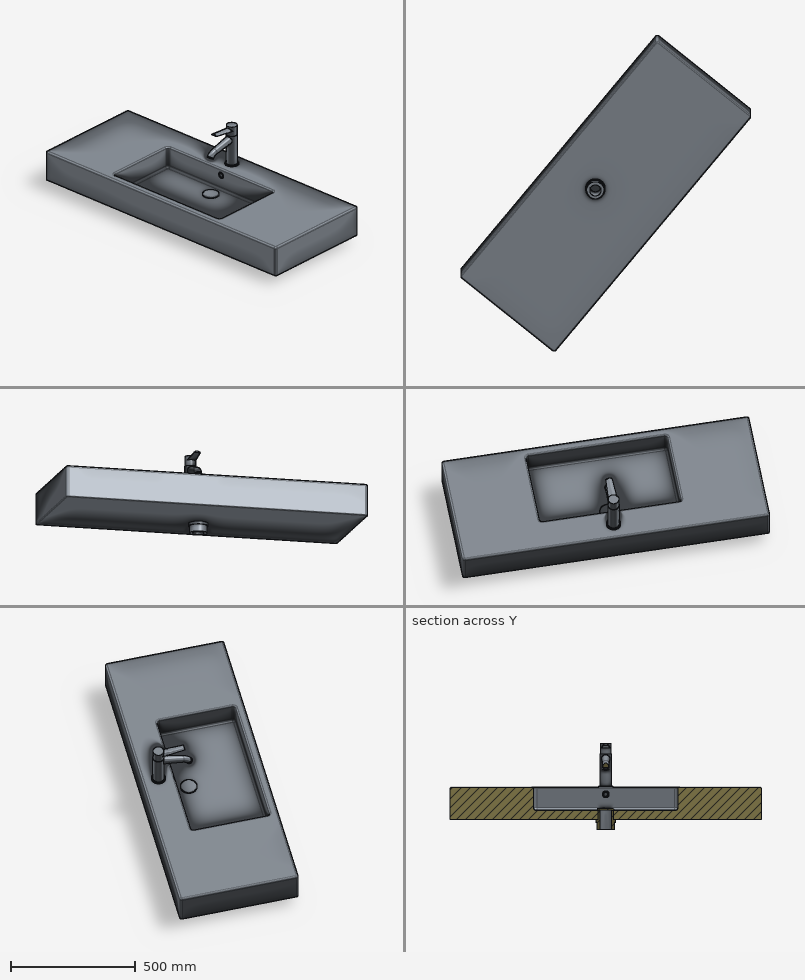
import cadquery as cq
import math

BASIN_LENGTH = 1250.0
BASIN_DEPTH = 490.0
BASIN_HEIGHT = 130.0
BASIN_CORNER_RADIUS = 10.0
BASIN_TOP_RADIUS = 8.0
BASIN_BOTTOM_RADIUS = 4.0

BOWL_LENGTH = 590.0
BOWL_BACK_Y = 121.0
BOWL_FRONT_Y = -216.0
BOWL_DEPTH = 92.0
BOWL_CORNER_RADIUS = 12.0
BOWL_FLOOR_RADIUS = 10.0
BOWL_RIM_RADIUS = 6.0
FLOOR_Z = BASIN_HEIGHT - BOWL_DEPTH

OVERFLOW_DIAMETER = 28.0
OVERFLOW_MOUTH_DIAMETER = 20.0
OVERFLOW_HOLE_DIAMETER = 16.0
OVERFLOW_LENGTH = 12.0
OVERFLOW_DROP = 29.0

DRAIN_Y = 54.0
TAIL_DROP = 40.0
TAIL_DIAMETER = 71.0
TAIL_FLANGE_DIAMETER = 79.0
TAIL_FLANGE_THICKNESS = 11.0
TAIL_NECK_DIAMETER = 60.0
TAIL_BORE_DIAMETER = 45.0
PLUG_DIAMETER = 68.0
PLUG_EDGE_HEIGHT = 6.0
PLUG_CROWN_HEIGHT = 9.0
PLUG_EDGE_RADIUS = 2.0

FAUCET_Y = 179.0
FAUCET_HEIGHT = 175.0
ROSETTE_DIAMETER = 58.0
ROSETTE_TOP_DIAMETER = 52.0
ROSETTE_HEIGHT = 5.0
COLUMN_DIAMETER = 46.0
CAP_DIAMETER = 44.0
CAP_HEIGHT = 41.0
FAUCET_TOP_Z = BASIN_HEIGHT + FAUCET_HEIGHT
CAP_BOTTOM_Z = FAUCET_TOP_Z - CAP_HEIGHT

SPOUT_ROOT_DIAMETER = 35.0
SPOUT_DIAMETER = 26.0
SPOUT_START_Z = 248.0
SPOUT_REACH = 101.0
SPOUT_SLOPE = math.radians(13)
SPOUT_END_SLOPE = math.radians(61)
SPOUT_BEND_RADIUS = 42.0
OUTLET_DIAMETER = 20.0
OUTLET_DEPTH = 5.0

LEVER_REACH = 106.0
LEVER_TIP_BOTTOM_Z = 296.0
LEVER_SLOPE = math.radians(6)
LEVER_ROOT_WIDTH = 38.0
LEVER_ROOT_THICKNESS = 10.0
LEVER_TIP_WIDTH = 26.0
LEVER_TIP_THICKNESS = 8.0


def cylinder(diameter, bottom_z, top_z, y):
    """Upright cylinder on the plane X = 0."""
    return (
        cq.Workplane("XY", origin=(0, y, bottom_z))
        .circle(diameter / 2)
        .extrude(top_z - bottom_z)
    )


def bowl_pocket():
    """Space inside the bowl, with a rounded floor edge."""
    length = BOWL_LENGTH - 2 * BOWL_RIM_RADIUS
    width = BOWL_BACK_Y - BOWL_FRONT_Y - 2 * BOWL_RIM_RADIUS
    return (
        cq.Workplane("XY", origin=(0, (BOWL_BACK_Y + BOWL_FRONT_Y) / 2, FLOOR_Z))
        .rect(length, width)
        .extrude(BOWL_DEPTH)
        .edges("|Z")
        .fillet(BOWL_CORNER_RADIUS)
        .faces("<Z")
        .edges()
        .fillet(BOWL_FLOOR_RADIUS)
    )


def overflow_cylinder(diameter):
    """Cylinder that runs from the back wall of the bowl into the basin."""
    wall_y = BOWL_BACK_Y - BOWL_RIM_RADIUS
    return (
        cq.Workplane("XZ", origin=(0, wall_y, BASIN_HEIGHT - OVERFLOW_DROP))
        .circle(diameter / 2)
        .extrude(-OVERFLOW_LENGTH)
    )


def make_basin():
    block = (
        cq.Workplane("XY")
        .box(BASIN_LENGTH, BASIN_DEPTH, BASIN_HEIGHT, centered=(True, True, False))
        .edges("|Z")
        .fillet(BASIN_CORNER_RADIUS)
        .faces(">Z")
        .edges()
        .fillet(BASIN_TOP_RADIUS)
        .faces("<Z")
        .edges()
        .fillet(BASIN_BOTTOM_RADIUS)
    )
    hollow = block.cut(bowl_pocket())
    bowl_rim = hollow.faces(">Z").wires().vals()
    inner = min(bowl_rim, key=lambda wire: wire.Length())
    rounded = hollow.newObject(inner.Edges()).fillet(BOWL_RIM_RADIUS)
    drain_hole = cylinder(TAIL_NECK_DIAMETER, 0, FLOOR_Z, DRAIN_Y)
    return rounded.cut(drain_hole).cut(overflow_cylinder(OVERFLOW_DIAMETER))


def make_overflow_ring():
    """Ring with a countersunk mouth."""
    return (
        overflow_cylinder(OVERFLOW_DIAMETER)
        .cut(overflow_cylinder(OVERFLOW_HOLE_DIAMETER))
        .faces("<Y")
        .edges(cq.selectors.RadiusNthSelector(0))
        .chamfer((OVERFLOW_MOUTH_DIAMETER - OVERFLOW_HOLE_DIAMETER) / 2)
    )


def make_drain_tail():
    flange = cylinder(TAIL_FLANGE_DIAMETER, -TAIL_FLANGE_THICKNESS, 0, DRAIN_Y)
    pipe = cylinder(TAIL_DIAMETER, -TAIL_DROP, -TAIL_FLANGE_THICKNESS, DRAIN_Y)
    neck = cylinder(TAIL_NECK_DIAMETER, 0, FLOOR_Z, DRAIN_Y)
    bore = cylinder(TAIL_BORE_DIAMETER, -TAIL_DROP, FLOOR_Z, DRAIN_Y)
    return flange.union(pipe).union(neck).cut(bore)


def make_drain_plug():
    """Disc with a domed top and a rounded edge."""
    radius = PLUG_DIAMETER / 2
    crown_rise = PLUG_CROWN_HEIGHT - PLUG_EDGE_HEIGHT
    disc = cylinder(PLUG_DIAMETER, FLOOR_Z, FLOOR_Z + PLUG_CROWN_HEIGHT, DRAIN_Y)
    dome_radius = (radius**2 + crown_rise**2) / (2 * crown_rise)
    dome_center_z = FLOOR_Z + PLUG_CROWN_HEIGHT - dome_radius
    dome = cq.Workplane("XY", origin=(0, DRAIN_Y, dome_center_z)).sphere(dome_radius)
    return disc.intersect(dome).faces("%SPHERE").edges("%CIRCLE").fillet(PLUG_EDGE_RADIUS)


def make_rosette():
    """Conical ring around the foot of the column."""
    chamfer = (ROSETTE_DIAMETER - ROSETTE_TOP_DIAMETER) / 2
    top_z = BASIN_HEIGHT + ROSETTE_HEIGHT
    disc = cylinder(ROSETTE_DIAMETER, BASIN_HEIGHT, top_z, FAUCET_Y).faces(">Z").chamfer(chamfer)
    return disc.cut(cylinder(COLUMN_DIAMETER, BASIN_HEIGHT, top_z, FAUCET_Y))


def spout_plane(y, z, slope):
    """Cross-section plane of the spout, facing along its downward run."""
    return cq.Plane(
        origin=(0, y, z),
        xDir=(1, 0, 0),
        normal=(0, -math.cos(slope), -math.sin(slope)),
    )


def make_faucet_body():
    column = cylinder(COLUMN_DIAMETER, BASIN_HEIGHT, CAP_BOTTOM_Z, FAUCET_Y)
    bend_y = FAUCET_Y - SPOUT_REACH
    bend_z = SPOUT_START_Z - SPOUT_REACH * math.tan(SPOUT_SLOPE)

    def bend_point(slope):
        """Point (Y, Z) of the bend's centre line where it falls at this slope."""
        return (
            bend_y - SPOUT_BEND_RADIUS * (math.sin(slope) - math.sin(SPOUT_SLOPE)),
            bend_z - SPOUT_BEND_RADIUS * (math.cos(SPOUT_SLOPE) - math.cos(slope)),
        )

    straight = (
        cq.Workplane(spout_plane(FAUCET_Y, SPOUT_START_Z, SPOUT_SLOPE))
        .circle(SPOUT_ROOT_DIAMETER / 2)
        .workplane(offset=SPOUT_REACH / math.cos(SPOUT_SLOPE))
        .circle(SPOUT_DIAMETER / 2)
        .loft()
    )
    bend_end = bend_point(SPOUT_END_SLOPE)
    bend_path = (
        cq.Workplane("YZ")
        .moveTo(bend_y, bend_z)
        .threePointArc(bend_point((SPOUT_SLOPE + SPOUT_END_SLOPE) / 2), bend_end)
    )
    bend = (
        cq.Workplane(spout_plane(bend_y, bend_z, SPOUT_SLOPE))
        .circle(SPOUT_DIAMETER / 2)
        .sweep(bend_path)
    )
    outlet = (
        cq.Workplane(spout_plane(*bend_end, SPOUT_END_SLOPE))
        .circle(OUTLET_DIAMETER / 2)
        .extrude(-OUTLET_DEPTH)
    )
    return column.union(straight).union(bend).cut(outlet)


def blade_section(workplane, width, thickness):
    """D-shaped section with a flat underside on the workplane's X axis."""
    return (
        workplane.moveTo(-width / 2, 0)
        .threePointArc((0, thickness), (width / 2, 0))
        .close()
    )


def make_handle():
    cap = cylinder(CAP_DIAMETER, CAP_BOTTOM_Z, FAUCET_TOP_Z, FAUCET_Y)
    root_plane = cq.Plane(
        origin=(0, FAUCET_Y, LEVER_TIP_BOTTOM_Z - LEVER_REACH * math.tan(LEVER_SLOPE)),
        xDir=(1, 0, 0),
        normal=(0, -math.cos(LEVER_SLOPE), math.sin(LEVER_SLOPE)),
    )
    root = blade_section(cq.Workplane(root_plane), LEVER_ROOT_WIDTH, LEVER_ROOT_THICKNESS)
    tip_plane = root.workplane(offset=LEVER_REACH / math.cos(LEVER_SLOPE))
    blade = blade_section(tip_plane, LEVER_TIP_WIDTH, LEVER_TIP_THICKNESS).loft()
    return cap.union(blade)


basin = make_basin()
overflow_ring = make_overflow_ring()
drain_tail = make_drain_tail()
drain_plug = make_drain_plug()
rosette = make_rosette()
faucet_body = make_faucet_body()
handle = make_handle()

result = cq.Compound.makeCompound(
    [
        basin.val(),
        overflow_ring.val(),
        drain_tail.val(),
        drain_plug.val(),
        rosette.val(),
        faucet_body.val(),
        handle.val(),
    ]
)